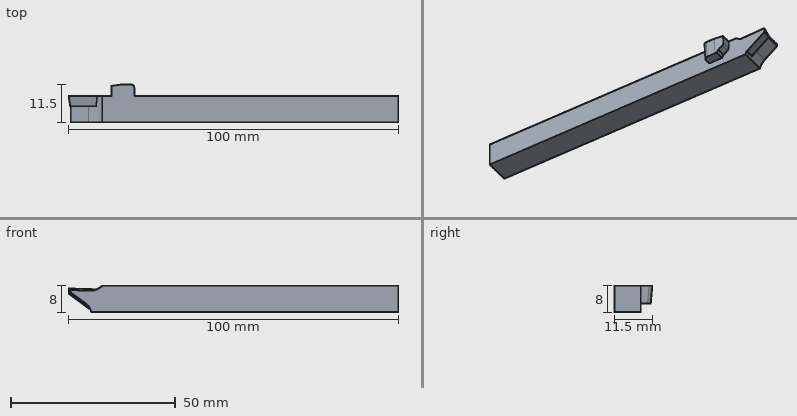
import math

import cadquery as cq

shank_length = 100.0
shank_width = 8.0
shank_height = 8.0

nose_front_x = 0.6
nose_front_bottom_z = 6.0
underside_angle = 36.5
underside_arc_z = 2.7
underside_foot_x = 6.85
seat_front_z = 6.62
seat_rear_x = 6.05
seat_fall = 0.03
shoulder_x = 10.2

insert_inner_y = 4.82
insert_top_z = 7.21
insert_bottom_z = 5.63
insert_front_relief = 8.5
pocket_outer_rear_x = 8.7
pocket_inner_rear_x = 8.35
pocket_outer_floor_z = 0.95
pocket_inner_floor_z = 1.25

lug_front_x = 13.0
lug_rear_x = 20.0
lug_outer_y = 11.5
lug_front_y = 11.1
lug_flat_x = 16.0
lug_corner_radius = 1.1
lug_side_draft = 5.0
lug_bottom_z = 2.55
lug_front_bottom_z = 5.4
lug_slope_top_z = 4.55
lug_slope_bottom_z = 3.5
lug_curve_angle = 66.0
lug_foot_angle = 59.0


def run_for_drop(drop, angle):
    """Distance along X over which a face at this angle falls by the drop."""
    return drop / math.tan(math.radians(angle))


def make_shank():
    """Square bar with a sloped underside and a sunken, arc-ended seat at the nose."""
    underside_arc_x = nose_front_x + run_for_drop(nose_front_bottom_z - underside_arc_z, underside_angle)
    seat_rear_z = seat_front_z - seat_fall * (seat_rear_x - nose_front_x)
    outline = (
        cq.Workplane("XZ")
        .moveTo(shoulder_x, shank_height)
        .lineTo(shank_length, shank_height)
        .lineTo(shank_length, 0)
        .lineTo(underside_foot_x, 0)
    )
    arc_dx = underside_foot_x - underside_arc_x
    chord_angle = math.atan2(underside_arc_z, arc_dx)
    underside_turn = chord_angle - math.radians(underside_angle)
    underside_sag = math.hypot(arc_dx, underside_arc_z) / 2 * math.tan(underside_turn / 2)
    seat_dx = shoulder_x - seat_rear_x
    seat_dz = shank_height - seat_rear_z
    seat_turn = math.atan2(seat_dz, seat_dx) + math.atan(seat_fall)
    seat_sag = math.hypot(seat_dx, seat_dz) / 2 * math.tan(seat_turn / 2)
    return (
        outline.sagittaArc((underside_arc_x, underside_arc_z), -underside_sag)
        .lineTo(nose_front_x, nose_front_bottom_z)
        .lineTo(nose_front_x, seat_front_z)
        .lineTo(seat_rear_x, seat_rear_z)
        .sagittaArc((shoulder_x, shank_height), -seat_sag)
        .close()
        .extrude(-shank_width)
    )


def loft_across_y(outer_points, inner_points):
    """Solid ruled between XZ polygons on the shank's +Y face and on the insert's inner side."""
    wires = []
    for y, points in ((shank_width, outer_points), (insert_inner_y, inner_points)):
        wires.append(cq.Wire.makePolygon([cq.Vector(x, y, z) for x, z in points], close=True))
    return cq.Workplane(cq.Solid.makeLoft(wires, True))


def make_pocket():
    """Open-fronted pocket in the nose that holds the insert."""

    def section(rear_x, floor_z):
        return [
            (0, floor_z),
            (rear_x, floor_z),
            (rear_x, shank_height),
            (0, shank_height),
        ]

    return loft_across_y(
        section(pocket_outer_rear_x, pocket_outer_floor_z),
        section(pocket_inner_rear_x, pocket_inner_floor_z),
    )


def make_insert():
    """Insert filling the pocket, thickest at its cutting side and relieved toward its inner side."""

    def section(front_x, top_z, bottom_z, rear_x, floor_z):
        heel_x = front_x + run_for_drop(bottom_z - floor_z, underside_angle)
        rear_top_z = top_z - seat_fall * (rear_x - front_x)
        return [
            (front_x, top_z),
            (front_x, bottom_z),
            (heel_x, floor_z),
            (rear_x, floor_z),
            (rear_x, rear_top_z),
        ]

    inner_x = (shank_width - insert_inner_y) * math.tan(math.radians(insert_front_relief))
    return loft_across_y(
        section(0, insert_top_z, insert_bottom_z, pocket_outer_rear_x, pocket_outer_floor_z),
        section(inner_x, seat_front_z, nose_front_bottom_z, pocket_inner_rear_x, pocket_inner_floor_z),
    )


def lug_plan(z):
    """Plan outline of the lug at height z, drawn in by the side draft."""
    inset = (shank_height - z) * math.tan(math.radians(lug_side_draft))
    root_y = shank_width / 2
    outer_y = lug_outer_y - inset
    cos45 = math.sqrt(0.5)
    arc_mid = lug_corner_radius * (1 - cos45)
    return (
        cq.Workplane("XY", origin=(0, 0, z))
        .moveTo(lug_front_x, root_y)
        .lineTo(lug_front_x, lug_front_y - inset)
        .lineTo(lug_flat_x, outer_y)
        .lineTo(lug_rear_x - lug_corner_radius, outer_y)
        .threePointArc((lug_rear_x - arc_mid, outer_y - arc_mid), (lug_rear_x, outer_y - lug_corner_radius))
        .lineTo(lug_rear_x, root_y)
        .close()
        .val()
    )


def make_lug():
    """Drafted lug with its lower front corner cut back in a curve, a slope and a steep foot."""
    body = cq.Workplane(cq.Solid.makeLoft([lug_plan(shank_height), lug_plan(lug_bottom_z)], True))
    curve_drop = lug_front_bottom_z - lug_slope_top_z
    slope_top_x = lug_front_x + run_for_drop(curve_drop, lug_curve_angle)
    slope_bottom_x = slope_top_x + run_for_drop(lug_slope_top_z - lug_slope_bottom_z, underside_angle)
    foot_x = slope_bottom_x + run_for_drop(lug_slope_bottom_z - lug_bottom_z, lug_foot_angle)
    curve_chord = math.hypot(curve_drop, slope_top_x - lug_front_x)
    curve_sag = curve_chord / 2 * math.tan(math.radians(90 - lug_curve_angle) / 2)
    profile = (
        cq.Workplane("XZ")
        .moveTo(lug_front_x, shank_height)
        .lineTo(lug_front_x, lug_front_bottom_z)
        .sagittaArc((slope_top_x, lug_slope_top_z), -curve_sag)
        .lineTo(slope_bottom_x, lug_slope_bottom_z)
        .lineTo(foot_x, lug_bottom_z)
        .lineTo(lug_rear_x, lug_bottom_z)
        .lineTo(lug_rear_x, shank_height)
        .close()
        .extrude(-lug_outer_y)
    )
    return body.intersect(profile)


result = make_shank().cut(make_pocket()).union(make_insert()).union(make_lug()).clean()